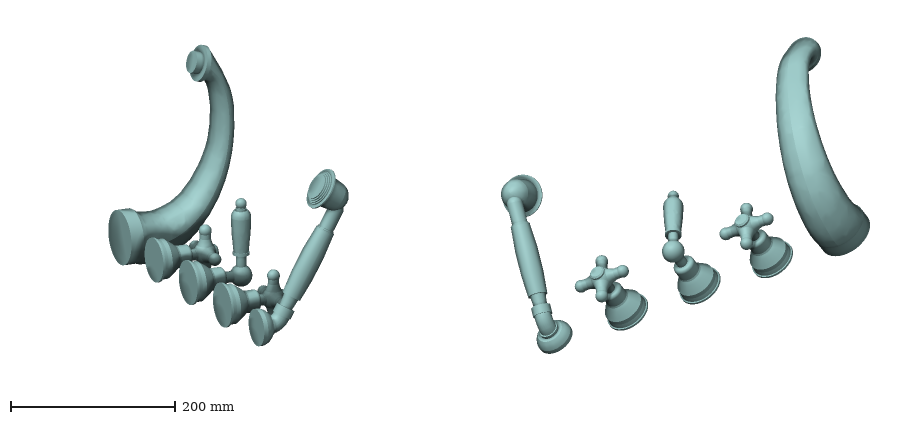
import cadquery as cq
import math

ROW_LENGTH = 400.0
PITCH = ROW_LENGTH / 4
OUTWARD = cq.Vector(0, 1, 0)
UPWARD = cq.Vector(0, 0, 1)

SPOUT_FOOT_RADIUS = 34.0
SPOUT_FOOT_LENGTH = 17.0
MOUTH_TILT = 16
MOUTH_CENTER = (105.5, 209.5)
MOUTH_RADIUS = 22.5
MOUTH_RIM_THICKNESS = 5.5
NOZZLE_RADIUS = 14.0
NOZZLE_LENGTH = 9.5
SPOUT_SECTIONS = [
    ((24.0, 29.5), (22.0, -36.0), 33.5),
    ((37.0, 27.0), (33.0, -36.0), 33.0),
    ((60.0, 30.0), (76.0, -21.0), 31.5),
    ((86.5, 44.5), (115.5, 17.0), 28.5),
    ((108.0, 74.0), (137.0, 58.0), 26.0),
    ((123.5, 124.5), (150.5, 131.2), 22.0),
    ((121.0, 169.5), (144.0, 177.8), 20.5),
    ((114.5, 185.0), (133.5, 201.0), 21.0),
]

FLANGE_RADIUS = 27.5
FLANGE_THICKNESS = 2.8
DRUM_RADIUS = 25.0
DRUM_FOOT_RADIUS = 26.0
DRUM_BOTTOM = 8.5
DRUM_TOP = 14.0
SHOULDER_RADIUS = 23.0
SHOULDER_TOP = 16.5
BONNET_RADIUS = 14.0
SHOULDER_BULGE = (19.5, 22.5)
BONNET_FOOT = (14.7, 28.0)
BONNET_BOTTOM = 30.5
BONNET_TOP = 47.5
BONNET_ROUNDING = 4.5
STEM_RADIUS = 7.0

CROSS_HEIGHT = 68.5
CROSS_REACH = 36.5
HUB_RADIUS = 14.5
HUB_HALF_LENGTH = 14.7
HUB_CORE_RADIUS = 7.5
HUB_CAP_RADIUS = 9.5
HUB_CAP_LENGTH = 8.5
HUB_CAP_CHAMFER = 2.0
ARM_RADIUS = 7.0
ARM_TIP_RADIUS = 8.0
ARM_ROOT_RADIUS = 11.5
ARM_ROOT_START = 7.5
ARM_FLARE_MIDDLE = (8.7, 13.0)
ARM_FLARE_END = 19.0

LEVER_HEIGHT = 71.0
LEVER_BALL_RADIUS = 14.0
LEVER_NECK_RADIUS = 6.5
LEVER_COLLAR_BOTTOM = 26.5
LEVER_COLLAR_TOP = 30.5
LEVER_COLLAR_RADIUS = 10.0
LEVER_GRIP_LOWER_RADIUS = 9.0
LEVER_GRIP_MIDDLE = (11.5, 53.0)
LEVER_GRIP_UPPER_RADIUS = 12.5
LEVER_GRIP_TOP = 74.0
LEVER_SHOULDER_TOP = 83.5
LEVER_SHOULDER_RADIUS = 8.7
LEVER_BEAD_RADIUS = 7.0
LEVER_BEAD_TOP = 86.0
LEVER_KNOB_NECK_RADIUS = 5.5
LEVER_KNOB_RADIUS = 7.0
LEVER_TOP = 98.5

ROSE_RADIUS = 23.0
ROSE_RIM_HEIGHT = 5.5
ROSE_TOP = 15.5
ROSE_TOP_RADIUS = 16.5
ROSE_BULGE = (20.5, 11.0)
ROSE_COLLAR_RADIUS = 12.0
ROSE_COLLAR_TOP = 20.0
ELBOW_RADIUS = 10.5
ELBOW_BEND_RADIUS = 20.3
ELBOW_CORNER = 27.0
HANDSET_TILT = 30
SOCKET_RADIUS = 12.0
SOCKET_BOTTOM = 13.5
SOCKET_TOP = 24.5
SOCKET_MOUTH_RADIUS = 8.5
GRIP_BOTTOM = 39.0
GRIP_TOP = 128.5
GRIP_END_RADIUS = 12.0
GRIP_MIDDLE_RADIUS = 14.5
GRIP_STEM_RADIUS = 9.5
GRIP_LIP_HEIGHT = 2.0
GRIP_COLLAR_RADIUS = 10.5
GRIP_COLLAR_TOP = 132.0
HANDSET_NECK_RADIUS = 9.5
HANDSET_NECK_TOP = 168.0

HEAD_TILT = 33
HEAD_CENTER = (87.5, 166.0)
HEAD_RIM_RADIUS = 26.2
HEAD_RIM_THICKNESS = 2.0
HEAD_BODY_RADIUS = 20.5
HEAD_SHOULDER_RADIUS = 18.0
HEAD_SHOULDER_DEPTH = 23.0
HEAD_DEPTH = 38.0
HEAD_BACK_MIDDLE = (11.5, -33.5)
FACE_OUTER_RADIUS = 21.5
FACE_INNER_RADIUS = 16.0
FACE_HEIGHT = 6.5
FACE_STEPS = 4


def turning_plane(origin, axis):
    """Plane whose local x is a radius along X and whose local y runs along the axis."""
    across = cq.Vector(1, 0, 0)
    return cq.Workplane(cq.Plane(origin=origin, xDir=across, normal=across.cross(axis)))


def turned(profile):
    """Revolve a profile that starts and ends on the turning axis."""
    return profile.close().revolve(360, (0, 0), (0, 1))


def rod(origin, axis, radius, length):
    return cq.Workplane(cq.Solid.makeCylinder(radius, length, cq.Vector(*origin), axis))


def ball(center, radius):
    return cq.Workplane("XY").sphere(radius).translate(center)


def tilted_outlet_axis(tilt):
    """Direction back towards the mounting plane, raised by the tilt in degrees."""
    angle = math.radians(tilt)
    return cq.Vector(0, -math.cos(angle), math.sin(angle))


def spout_section(inside, outside, half_width):
    """Oval wire spanning the two points in the plane x = 0."""
    depth = cq.Vector(0, outside[0] - inside[0], outside[1] - inside[1])
    center = cq.Vector(0, (inside[0] + outside[0]) / 2, (inside[1] + outside[1]) / 2)
    across = cq.Vector(1, 0, 0)
    return cq.Wire.makeEllipse(half_width, depth.Length / 2, center, across.cross(depth), across)


def make_spout():
    foot = rod((0, 0, 0), OUTWARD, SPOUT_FOOT_RADIUS, SPOUT_FOOT_LENGTH)

    outlet = tilted_outlet_axis(MOUTH_TILT)
    mouth = cq.Vector(0, *MOUTH_CENTER)
    rim_back = mouth - outlet * MOUTH_RIM_THICKNESS
    rim = rod(rim_back.toTuple(), outlet, MOUTH_RADIUS, MOUTH_RIM_THICKNESS)
    nozzle = rod(mouth.toTuple(), outlet, NOZZLE_RADIUS, NOZZLE_LENGTH)

    foot_wire = spout_section(
        (SPOUT_FOOT_LENGTH, SPOUT_FOOT_RADIUS), (SPOUT_FOOT_LENGTH, -SPOUT_FOOT_RADIUS), SPOUT_FOOT_RADIUS
    )
    mouth_offset = cq.Vector(0, outlet.z, -outlet.y) * MOUTH_RADIUS
    mouth_inside = rim_back - mouth_offset
    mouth_outside = rim_back + mouth_offset
    mouth_wire = spout_section(
        (mouth_inside.y, mouth_inside.z), (mouth_outside.y, mouth_outside.z), MOUTH_RADIUS
    )
    wires = [foot_wire, *[spout_section(*section) for section in SPOUT_SECTIONS], mouth_wire]
    tube = cq.Workplane(cq.Solid.makeLoft(wires))
    return foot.union(tube).union(rim).union(nozzle)


def make_valve_body(x, stem_top):
    """Flanged bonnet with a stem that reaches up into the handle."""
    profile = (
        turning_plane((x, 0, 0), OUTWARD)
        .lineTo(FLANGE_RADIUS, 0)
        .lineTo(FLANGE_RADIUS, FLANGE_THICKNESS)
        .lineTo(DRUM_FOOT_RADIUS, FLANGE_THICKNESS)
        .lineTo(DRUM_RADIUS, DRUM_BOTTOM)
        .lineTo(DRUM_RADIUS, DRUM_TOP)
        .lineTo(SHOULDER_RADIUS, SHOULDER_TOP)
        .threePointArc(SHOULDER_BULGE, BONNET_FOOT)
        .lineTo(BONNET_RADIUS, BONNET_BOTTOM)
        .lineTo(BONNET_RADIUS, BONNET_TOP - BONNET_ROUNDING)
        .radiusArc((BONNET_RADIUS - BONNET_ROUNDING, BONNET_TOP), -BONNET_ROUNDING)
        .lineTo(STEM_RADIUS, BONNET_TOP)
        .lineTo(STEM_RADIUS, stem_top)
        .lineTo(0, stem_top)
    )
    return turned(profile)


def make_cross_arm(center, direction):
    """Arm that flares out where it leaves the hub and ends in a ball."""
    tip_center = CROSS_REACH - ARM_TIP_RADIUS
    profile = (
        turning_plane(center, UPWARD)
        .moveTo(0, ARM_ROOT_START)
        .lineTo(ARM_ROOT_RADIUS, ARM_ROOT_START)
        .threePointArc(ARM_FLARE_MIDDLE, (ARM_RADIUS, ARM_FLARE_END))
        .lineTo(ARM_RADIUS, tip_center)
        .lineTo(0, tip_center)
    )
    tip = ball((center[0], center[1], center[2] + tip_center), ARM_TIP_RADIUS)
    axis_end = (center[0], center[1] + 4.5, center[2])
    return turned(profile).union(tip).rotate(center, axis_end, direction)


def make_cross_valve(x):
    center = (x, CROSS_HEIGHT, 0)
    hub_bottom = CROSS_HEIGHT - HUB_HALF_LENGTH
    hub_core = rod((x, hub_bottom, 0), OUTWARD, HUB_CORE_RADIUS, 2 * HUB_HALF_LENGTH)
    cap_bottom = CROSS_HEIGHT + HUB_HALF_LENGTH - HUB_CAP_LENGTH
    cap = rod((x, cap_bottom, 0), OUTWARD, HUB_CAP_RADIUS, HUB_CAP_LENGTH)
    cap = cap.faces(">Y").chamfer(HUB_CAP_CHAMFER)
    valve = make_valve_body(x, CROSS_HEIGHT).union(ball(center, HUB_RADIUS)).union(hub_core).union(cap)
    for direction in (0, 90, 180, 270):
        valve = valve.union(make_cross_arm(center, direction))
    return valve


def make_lever_valve(x):
    center = (x, LEVER_HEIGHT, 0)
    knob_center = LEVER_TOP - LEVER_KNOB_RADIUS
    grip_profile = (
        turning_plane(center, UPWARD)
        .lineTo(LEVER_NECK_RADIUS, 0)
        .lineTo(LEVER_NECK_RADIUS, LEVER_COLLAR_BOTTOM)
        .lineTo(LEVER_COLLAR_RADIUS, LEVER_COLLAR_BOTTOM)
        .lineTo(LEVER_COLLAR_RADIUS, LEVER_COLLAR_TOP)
        .lineTo(LEVER_GRIP_LOWER_RADIUS, LEVER_COLLAR_TOP)
        .threePointArc(LEVER_GRIP_MIDDLE, (LEVER_GRIP_UPPER_RADIUS, LEVER_GRIP_TOP))
        .radiusArc((LEVER_SHOULDER_RADIUS, LEVER_SHOULDER_TOP), -LEVER_GRIP_UPPER_RADIUS)
        .lineTo(LEVER_BEAD_RADIUS, LEVER_SHOULDER_TOP)
        .lineTo(LEVER_BEAD_RADIUS, LEVER_BEAD_TOP)
        .lineTo(LEVER_KNOB_NECK_RADIUS, LEVER_BEAD_TOP)
        .lineTo(LEVER_KNOB_NECK_RADIUS, knob_center)
        .lineTo(0, knob_center)
    )
    knob = ball((x, LEVER_HEIGHT, knob_center), LEVER_KNOB_RADIUS)
    hub = ball(center, LEVER_BALL_RADIUS)
    return make_valve_body(x, LEVER_HEIGHT).union(hub).union(turned(grip_profile)).union(knob)


def make_rose(x):
    """Wall rose under the hand shower elbow."""
    profile = (
        turning_plane((x, 0, 0), OUTWARD)
        .lineTo(ROSE_RADIUS, 0)
        .lineTo(ROSE_RADIUS, ROSE_RIM_HEIGHT)
        .threePointArc(ROSE_BULGE, (ROSE_TOP_RADIUS, ROSE_TOP))
        .lineTo(ROSE_COLLAR_RADIUS, ROSE_TOP)
        .lineTo(ROSE_COLLAR_RADIUS, ROSE_COLLAR_TOP)
        .lineTo(0, ROSE_COLLAR_TOP)
    )
    return turned(profile)


def make_elbow(x, handset_axis):
    """Round tube that leaves the rose along Y and bends up into the handset axis."""
    turn = math.radians(90 - HANDSET_TILT)
    tangent = ELBOW_BEND_RADIUS * math.tan(turn / 2)
    bend_start = ELBOW_CORNER - tangent
    bend_middle = (
        bend_start + ELBOW_BEND_RADIUS * math.sin(turn / 2),
        ELBOW_BEND_RADIUS * (1 - math.cos(turn / 2)),
    )
    bend_end = (ELBOW_CORNER + tangent * handset_axis.y, tangent * handset_axis.z)
    tube_end = (ELBOW_CORNER + SOCKET_BOTTOM * handset_axis.y, SOCKET_BOTTOM * handset_axis.z)
    path = (
        cq.Workplane("YZ", origin=(x, 0, 0))
        .moveTo(ROSE_RIM_HEIGHT, 0)
        .lineTo(bend_start, 0)
        .threePointArc(bend_middle, bend_end)
        .lineTo(*tube_end)
    )
    ring = cq.Workplane(cq.Plane((x, ROSE_RIM_HEIGHT, 0), (1, 0, 0), OUTWARD.toTuple()))
    return ring.circle(ELBOW_RADIUS).sweep(path)


def make_grip(x, handset_axis):
    """Bulged grip on a slim stem in its socket, with the round-ended neck of the shower head above."""
    lip_top = GRIP_TOP + GRIP_LIP_HEIGHT
    grip_middle = (GRIP_BOTTOM + GRIP_TOP) / 2
    profile = (
        turning_plane((x, ELBOW_CORNER, 0), handset_axis)
        .moveTo(0, SOCKET_BOTTOM)
        .lineTo(SOCKET_RADIUS, SOCKET_BOTTOM)
        .lineTo(SOCKET_RADIUS, SOCKET_TOP)
        .lineTo(SOCKET_MOUTH_RADIUS, SOCKET_TOP)
        .lineTo(GRIP_STEM_RADIUS, GRIP_BOTTOM)
        .lineTo(GRIP_END_RADIUS, GRIP_BOTTOM)
        .threePointArc((GRIP_MIDDLE_RADIUS, grip_middle), (GRIP_END_RADIUS, GRIP_TOP))
        .lineTo(GRIP_END_RADIUS, lip_top)
        .lineTo(GRIP_COLLAR_RADIUS, lip_top)
        .lineTo(GRIP_COLLAR_RADIUS, GRIP_COLLAR_TOP)
        .lineTo(HANDSET_NECK_RADIUS, GRIP_COLLAR_TOP)
        .lineTo(HANDSET_NECK_RADIUS, HANDSET_NECK_TOP - HANDSET_NECK_RADIUS)
        .radiusArc((0, HANDSET_NECK_TOP), -HANDSET_NECK_RADIUS)
    )
    return turned(profile)


def make_shower_head(x):
    """Domed cup with a wide rim and a spray face that rises in rings."""
    profile = (
        turning_plane((x, *HEAD_CENTER), tilted_outlet_axis(HEAD_TILT))
        .moveTo(0, -HEAD_DEPTH)
        .threePointArc(HEAD_BACK_MIDDLE, (HEAD_SHOULDER_RADIUS, -HEAD_SHOULDER_DEPTH))
        .lineTo(HEAD_BODY_RADIUS, 0)
        .lineTo(HEAD_RIM_RADIUS, 0)
        .lineTo(HEAD_RIM_RADIUS, HEAD_RIM_THICKNESS)
    )
    step_width = (FACE_OUTER_RADIUS - FACE_INNER_RADIUS) / (FACE_STEPS - 1)
    step_height = FACE_HEIGHT / FACE_STEPS
    for step in range(FACE_STEPS):
        radius = FACE_OUTER_RADIUS - step * step_width
        base = HEAD_RIM_THICKNESS + step * step_height
        profile = profile.lineTo(radius, base).lineTo(radius, base + step_height)
    return turned(profile.lineTo(0, HEAD_RIM_THICKNESS + FACE_HEIGHT))


def make_hand_shower(x):
    tilt = math.radians(HANDSET_TILT)
    handset_axis = cq.Vector(0, math.sin(tilt), math.cos(tilt))
    mount = make_rose(x).union(make_elbow(x, handset_axis))
    return mount.union(make_grip(x, handset_axis)).union(make_shower_head(x))


spout = make_spout()
cross_valves = [make_cross_valve(position * PITCH) for position in (1, 3)]
lever_valve = make_lever_valve(2 * PITCH)
hand_shower = make_hand_shower(4 * PITCH)

result = cq.Compound.makeCompound(
    [spout.val(), *[valve.val() for valve in cross_valves], lever_valve.val(), hand_shower.val()]
)